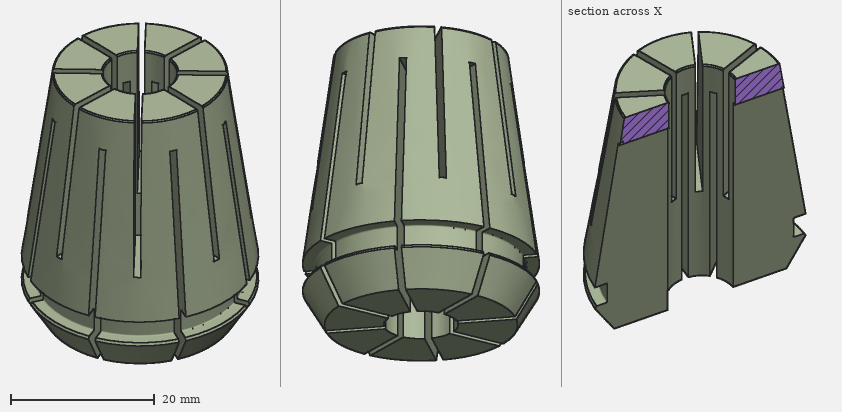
import cadquery as cq

height = 40.0
max_diameter = 33.0
bore_diameter = 10.3

base_radius = 13.55
base_chamfer = 0.1
rim_height = 5.1
rim_chamfer_rise = 0.4
rim_chamfer_inset = 0.25

groove_radius = 14.6
groove_top = 9.1
groove_fillet = 0.2

taper_top_radius = 12.2
top_chamfer = 0.2

slots_per_end = 8
slot_width = 1.0
base_slot_end = 35.0
top_slot_end = 16.0

max_radius = max_diameter / 2
bore_radius = bore_diameter / 2
slot_pitch = 360 / slots_per_end


def make_body():
    """Revolve the half section of the collet around Z."""
    groove_bottom = rim_height + rim_chamfer_rise
    section = (
        cq.Workplane("XZ")
        .moveTo(bore_radius, 0)
        .lineTo(base_radius - base_chamfer, 0)
        .lineTo(base_radius, base_chamfer)
        .lineTo(max_radius, rim_height)
        .lineTo(max_radius - rim_chamfer_inset, groove_bottom)
        .lineTo(groove_radius + groove_fillet, groove_bottom)
        .tangentArcPoint((-groove_fillet, groove_fillet))
        .lineTo(groove_radius, groove_top - groove_fillet)
        .tangentArcPoint((groove_fillet, groove_fillet))
        .lineTo(max_radius, groove_top)
        .lineTo(taper_top_radius, height - top_chamfer)
        .lineTo(taper_top_radius - top_chamfer, height)
        .lineTo(bore_radius + top_chamfer, height)
        .lineTo(bore_radius, height - top_chamfer)
        .close()
    )
    return section.revolve(360, (0, 0), (0, 1))


def make_slots(bottom, top, first_angle):
    """Ring of radial slots from the axis outward, between two heights."""
    slot = (
        cq.Workplane("XY")
        .workplane(offset=bottom)
        .center(max_radius, 0)
        .rect(max_diameter, slot_width)
        .extrude(top - bottom)
    )
    slots = cq.Workplane()
    for i in range(slots_per_end):
        angle = first_angle + i * slot_pitch
        slots = slots.add(slot.rotate((0, 0, 0), (0, 0, 1), angle))
    return slots.combine()


base_slots = make_slots(0, base_slot_end, 0)
top_slots = make_slots(top_slot_end, height, slot_pitch / 2)
result = make_body().cut(base_slots).cut(top_slots)